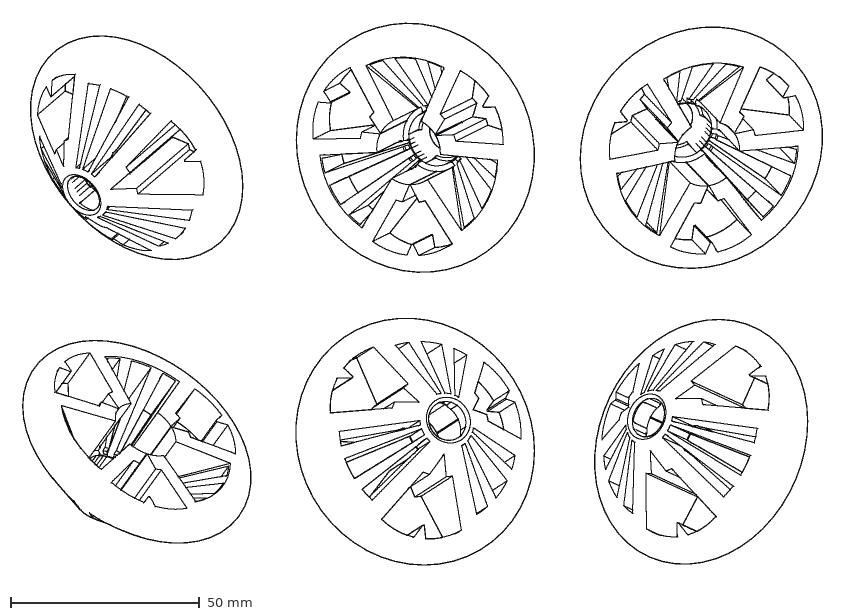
import cadquery as cq
import math

rim_radius = 33.5
depth = 30.0
rim_round = 5.0
tip_radius = 6.2

throat_radius = 5.3
mouth_round = tip_radius - throat_radius
chamber_radius = 7.45
chamber_round_depth = 6.8
cavity_radius = 9.05
cavity_depth = 19.4

recess_radius = 7.5
recess_half_angle = 24.0
recess_tip_distance = 3.15

hollow_depth = 19.75
hollow_inner_radius = 7.6
hollow_slope = 0.9
hollow_half_angle = 26.0

pattern_count = 3
pattern_tilt = 2.5
pattern_step = 360.0 / pattern_count

slot_inner_radius = 7.65
slot_outer_radius = 25.05
slot_angle_ranges = [(-23.8, -14.8), (-6.7, 6.7), (14.8, 23.8)]

window_apex = 8.85
point_half_angle = 26.0
window_step_radius = 13.9
window_side_apex = 6.75
window_side_half_angle = 32.3
window_arc_radius = 19.95
window_arc_center = 8.2
tooth_apex = 24.7
tooth_tip = 25.1
tooth_half_angle = 27.0


def on_circle(radius, angle):
    """Point at an angle measured from the local +y direction."""
    turn = math.radians(angle)
    return (radius * math.sin(turn), radius * math.cos(turn))


def line_meets_circle(start, half_angle, center, radius):
    """Where a line leaving (0, start) at half_angle from +y leaves a circle around (0, center)."""
    turn = math.radians(half_angle)
    offset = start - center
    along = offset * math.cos(turn)
    length = math.sqrt(along**2 - offset**2 + radius**2) - along
    return (length * math.sin(turn), start + length * math.cos(turn))


def mirrored(point):
    return (-point[0], point[1])


def cone_body():
    """Turned solid: flat back, round rim, straight cone down to the tip."""
    round_center_x = rim_radius - rim_round
    run = round_center_x - tip_radius
    rise = depth - rim_round
    touch_angle = math.pi - math.atan2(rise, run) - math.acos(rim_round / math.hypot(run, rise))
    touch = (
        round_center_x + rim_round * math.cos(touch_angle),
        -rim_round - rim_round * math.sin(touch_angle),
    )
    profile = (
        cq.Workplane("XY")
        .lineTo(round_center_x, 0)
        .threePointArc((rim_radius, -rim_round), touch)
        .lineTo(tip_radius, -depth)
        .lineTo(0, -depth)
        .close()
    )
    return profile.revolve(360, (0, 0, 0), (0, 1, 0))


def sector(profile, half_angle):
    """Turn a profile in the XY plane into a wedge around the axis, centred on local +Z."""
    wedge = profile.revolve(2 * half_angle, (0, 0, 0), (0, 1, 0))
    return wedge.rotate((0, 0, 0), (0, 1, 0), -90 - half_angle)


def bore_cutter():
    """Mouth, throat, chamber and cavity as one turned shape."""
    chamber_length = chamber_round_depth - mouth_round
    chamber_widening = chamber_radius - throat_radius
    chamber_round = (chamber_length**2 + chamber_widening**2) / (2 * chamber_widening)
    profile = (
        cq.Workplane("XY")
        .lineTo(cavity_radius, 0)
        .lineTo(cavity_radius, -cavity_depth)
        .lineTo(chamber_radius, -cavity_depth)
        .lineTo(chamber_radius, -depth + chamber_round_depth)
        .radiusArc((throat_radius, -depth + mouth_round), chamber_round)
        .radiusArc((tip_radius, -depth), -mouth_round)
        .lineTo(0, -depth)
        .close()
    )
    return profile.revolve(360, (0, 0, 0), (0, 1, 0))


def recess_cutter():
    front = -depth + recess_tip_distance
    profile = (
        cq.Workplane("XY")
        .lineTo(recess_radius, 0)
        .lineTo(recess_radius, front)
        .lineTo(0, front)
        .close()
    )
    return sector(profile, recess_half_angle)


def hollow_cutter():
    """Conical space behind one group of slots, widening towards the back face."""
    profile = (
        cq.Workplane("XY")
        .lineTo(hollow_inner_radius + hollow_slope * hollow_depth, 0)
        .lineTo(hollow_inner_radius, -hollow_depth)
        .lineTo(0, -hollow_depth)
        .close()
    )
    return sector(profile, hollow_half_angle)


def slot_cutter(start_angle, end_angle):
    middle_angle = (start_angle + end_angle) / 2
    return (
        cq.Workplane("XZ")
        .moveTo(*on_circle(slot_inner_radius, start_angle))
        .lineTo(*on_circle(slot_outer_radius, start_angle))
        .threePointArc(on_circle(slot_outer_radius, middle_angle), on_circle(slot_outer_radius, end_angle))
        .lineTo(*on_circle(slot_inner_radius, end_angle))
        .threePointArc(on_circle(slot_inner_radius, middle_angle), on_circle(slot_inner_radius, start_angle))
        .close()
        .extrude(depth)
    )


def window_cutter():
    point_corner = line_meets_circle(window_apex, point_half_angle, 0, window_step_radius)
    side_inner = line_meets_circle(window_side_apex, window_side_half_angle, 0, window_step_radius)
    side_outer = line_meets_circle(
        window_side_apex, window_side_half_angle, window_arc_center, window_arc_radius
    )
    tooth_corner = ((tooth_tip - tooth_apex) * math.tan(math.radians(tooth_half_angle)), tooth_tip)
    tooth_base = line_meets_circle(tooth_apex, tooth_half_angle, window_arc_center, window_arc_radius)
    return (
        cq.Workplane("XZ")
        .moveTo(0, window_apex)
        .lineTo(*point_corner)
        .lineTo(*side_inner)
        .lineTo(*side_outer)
        .radiusArc(tooth_base, -window_arc_radius)
        .lineTo(*tooth_corner)
        .lineTo(*mirrored(tooth_corner))
        .lineTo(*mirrored(tooth_base))
        .radiusArc(mirrored(side_outer), -window_arc_radius)
        .lineTo(*mirrored(side_inner))
        .lineTo(*mirrored(point_corner))
        .close()
        .extrude(depth)
    )


def turned(cutter, angle):
    return cutter.rotate((0, 0, 0), (0, 1, 0), angle)


result = cone_body().cut(bore_cutter())
for index in range(pattern_count):
    slot_turn = pattern_tilt + index * pattern_step
    window_turn = slot_turn + pattern_step / 2
    for start_angle, end_angle in slot_angle_ranges:
        result = result.cut(turned(slot_cutter(start_angle, end_angle), slot_turn))
    result = result.cut(turned(hollow_cutter(), slot_turn))
    result = result.cut(turned(window_cutter(), window_turn))
    result = result.cut(turned(recess_cutter(), window_turn))